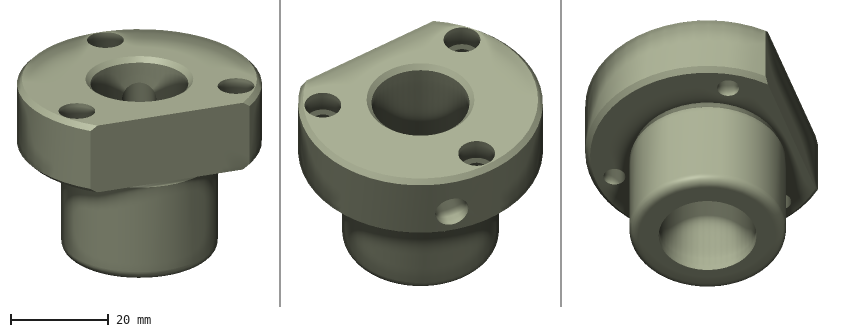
import cadquery as cq

flange_diameter = 49.95
flange_height = 15.05
flange_chamfer = 1
flat_offset = 18.05
spigot_diameter = 31.95
spigot_length = 23
spigot_end_radius = 2
relief_diameter = 30.7
relief_height = 1.3
bore_diameter = 20
bore_chamfer = 1
screw_circle_radius = 20
screw_count = 3
screw_hole_diameter = 4.5
counterbore_diameter = 7.5
counterbore_depth = 4.6
side_hole_diameter = 7
side_hole_drop = 9
side_hole_angle = 160


def make_flange():
    disc = cq.Workplane("XY").circle(flange_diameter / 2).extrude(flange_height)
    disc = disc.edges().chamfer(flange_chamfer)
    keep_length = flange_diameter + flat_offset
    keep = cq.Workplane("XY").box(keep_length, flange_diameter, flange_height, centered=(False, True, False))
    return disc.intersect(keep.translate((flat_offset - keep_length, 0, 0)))


def make_spigot():
    relief_step = (spigot_diameter - relief_diameter) / 2
    land_length = spigot_length - relief_height
    land = cq.Workplane("XY").workplane(offset=-spigot_length).circle(spigot_diameter / 2).extrude(land_length)
    land = land.faces(">Z").edges().chamfer(relief_step)
    land = land.faces("<Z").edges().fillet(spigot_end_radius)
    neck = cq.Workplane("XY").circle(relief_diameter / 2).extrude(-relief_height)
    return land.union(neck)


def cut_bore(body):
    drill = cq.Workplane("XY").workplane(offset=-spigot_length)
    drill = drill.circle(bore_diameter / 2).extrude(spigot_length + flange_height)
    countersink = cq.Solid.makeCone(
        bore_diameter / 2,
        bore_diameter / 2 + bore_chamfer,
        bore_chamfer,
        pnt=cq.Vector(0, 0, flange_height - bore_chamfer),
    )
    return body.cut(drill).cut(cq.Workplane(countersink))


def cut_screw_holes(body):
    return (
        body.faces(">Z")
        .workplane(origin=(0, 0, flange_height))
        .polarArray(screw_circle_radius, 180, 360, screw_count)
        .cboreHole(screw_hole_diameter, counterbore_diameter, counterbore_depth, depth=flange_height)
    )


def cut_side_hole(body):
    drill = cq.Workplane("YZ").circle(side_hole_diameter / 2).extrude(flange_diameter / 2)
    drill = drill.rotate((0, 0, 0), (0, 0, 1), side_hole_angle)
    return body.cut(drill.translate((0, 0, flange_height - side_hole_drop)))


result = make_flange().union(make_spigot())
result = cut_bore(result)
result = cut_screw_holes(result)
result = cut_side_hole(result)